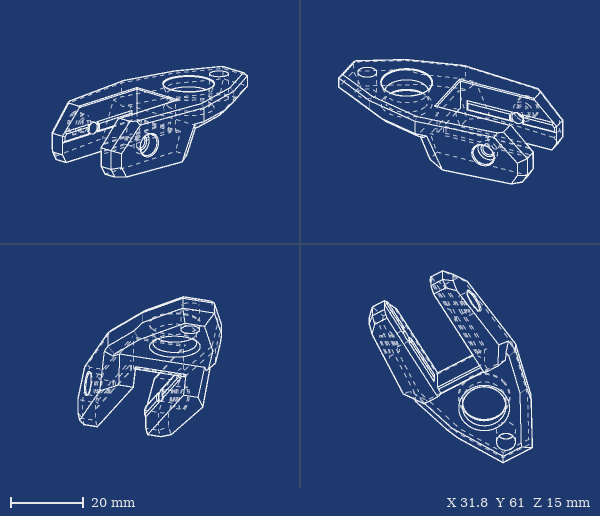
import cadquery as cq
import math

HEIGHT = 15.0
PLATE_THICKNESS = 7.0
BACK_Y = 18.55
FRONT_Y = -42.42

BACK_HALF_WIDTH = 4.66
SHOULDER_HALF_WIDTH = 11.66
SHOULDER_Y = 5.71
WIDEST_HALF_WIDTH = 15.88
WIDEST_Y = -10.27
LEG_TIP_HALF_WIDTH = 13.19

TOP_BEVEL = 1.0
BACK_UNDER_BEVEL = 3.0
WAIST_UNDER_BEVEL = 2.0
LEG_FRONT_BEVEL = 2.0

NOSE_TOP_SETBACK = 7.0
NOSE_BOTTOM_SETBACK = 1.5
NOSE_BOTTOM_RISE = 2.6
LEG_REAR_ANGLE = 20.0
LEG_REAR_FOOT_Y = -12.84

REAR_SLANT_FOOT_Y = -18.36
REAR_SLANT_HEAD_Y = -13.73
REAR_SLANT_INNER_X = 11.7

SLOT_HALF_WIDTH = 7.4
SLOT_BACK_Y = LEG_REAR_FOOT_Y
SLOT_RIM_WIDTH = 0.43
SLOT_RIM_DEPTH = 0.25
WEB_BOTTOM_Z = -9.6
WEB_BEVEL_HEIGHT = 0.6
WEB_BEVEL_WIDTH = 0.4

SMALL_HOLE_DIAMETER = 5.2
SMALL_HOLE_Y = 12.07
BORE_DIAMETER = 12.0
BORE_BOTTOM_BEVEL = 1.0
SEAT_DIAMETER = 13.9
SEAT_DEPTH = 2.9
SEAT_BULGE = 0.15
SEAT_RIM_BEVEL = 0.2

PIVOT_Y = -30.33
PIVOT_Z = -HEIGHT / 2
PIVOT_DIAMETER = 3.4
PIVOT_EDGE_BEVEL = 0.35
COUNTERBORE_DIAMETER = 6.1
COUNTERBORE_DEPTH = 3.0
COUNTERBORE_RIM_BEVEL = 0.3

RIB_HEIGHT = 0.5
RIB_BASE_WIDTH = 3.0
RIB_BACK_Y = -14.9
RIB_GAP_DIAMETER = 4.3

REACH = 100.0

SIDE_SLOPE = (WIDEST_HALF_WIDTH - LEG_TIP_HALF_WIDTH) / (WIDEST_Y - FRONT_Y)
UP = cq.Vector(0, 0, 1)
DOWN = cq.Vector(0, 0, -1)
BACKWARD = cq.Vector(0, 1, 0)
FORWARD = cq.Vector(0, -1, 0)


def leg_half_width(y):
    """Half-width of the outline in front of its widest point."""
    return WIDEST_HALF_WIDTH - SIDE_SLOPE * (WIDEST_Y - y)


def outward(start, end):
    """Horizontal unit normal of a right-hand outline side that runs from back to front."""
    return cq.Vector(start[1] - end[1], end[0] - start[0], 0).normalized()


BACK_CORNER = (BACK_HALF_WIDTH, BACK_Y)
SHOULDER = (SHOULDER_HALF_WIDTH, SHOULDER_Y)
WIDEST = (WIDEST_HALF_WIDTH, WIDEST_Y)
LEG_TIP = (LEG_TIP_HALF_WIDTH, FRONT_Y)
BACK_SIDE = outward(BACK_CORNER, SHOULDER)
WAIST_SIDE = outward(SHOULDER, WIDEST)
LEG_SIDE = outward(WIDEST, LEG_TIP)


def half_space(point, normal):
    """Block filling the side of a plane that its normal points to."""
    plane = cq.Plane(origin=point.toTuple(), normal=normal.toTuple())
    return cq.Workplane(plane).rect(2 * REACH, 2 * REACH).extrude(REACH)


def cut_both_sides(body, tool):
    return body.cut(tool).cut(tool.mirror("YZ"))


def edge_bevel(edge_point, first_normal, second_normal, length):
    """Tool that takes an equal bevel off the edge where two faces meet."""
    normal = (first_normal + second_normal).normalized()
    depth = length * (first_normal - second_normal).Length / 2
    return half_space(edge_point - normal * depth, normal)


def at_height(outline_point, z):
    return cq.Vector(outline_point[0], outline_point[1], z)


def symmetric_prism(right_points, thickness):
    """Prism below the top face from the right half of an outline."""
    left_points = [(-x, y) for x, y in reversed(right_points)]
    return cq.Workplane("XY").polyline(right_points + left_points).close().extrude(-thickness)


def make_plate():
    front_y = REAR_SLANT_HEAD_Y
    front_corner = (leg_half_width(front_y), front_y)
    plate = symmetric_prism([BACK_CORNER, SHOULDER, WIDEST, front_corner], PLATE_THICKNESS)
    bottom = -PLATE_THICKNESS
    plate = plate.cut(edge_bevel(at_height(BACK_CORNER, bottom), BACKWARD, DOWN, BACK_UNDER_BEVEL))
    sides = [
        (BACK_CORNER, BACK_SIDE, BACK_UNDER_BEVEL),
        (WIDEST, WAIST_SIDE, WAIST_UNDER_BEVEL),
        (WIDEST, LEG_SIDE, WAIST_UNDER_BEVEL),
    ]
    for corner, normal, length in sides:
        plate = cut_both_sides(plate, edge_bevel(at_height(corner, bottom), normal, DOWN, length))
    return plate


def rear_slant():
    """Tool that slants the outer rear corner of the right leg."""
    foot = cq.Vector(leg_half_width(REAR_SLANT_FOOT_Y), REAR_SLANT_FOOT_Y, -HEIGHT)
    head_z = WAIST_UNDER_BEVEL - PLATE_THICKNESS
    head = cq.Vector(leg_half_width(REAR_SLANT_HEAD_Y), REAR_SLANT_HEAD_Y, head_z)
    inner = cq.Vector(REAR_SLANT_INNER_X, LEG_REAR_FOOT_Y, -HEIGHT)
    return half_space(foot, (inner - foot).cross(head - foot))


def make_leg_block():
    """Full-width block with the side profile of the legs, before the slot is cut."""
    head_y = LEG_REAR_FOOT_Y + HEIGHT * math.tan(math.radians(LEG_REAR_ANGLE))
    profile = [
        (head_y, 0),
        (FRONT_Y + NOSE_TOP_SETBACK, 0),
        (FRONT_Y, -NOSE_TOP_SETBACK),
        (FRONT_Y, NOSE_BOTTOM_RISE - HEIGHT),
        (FRONT_Y + NOSE_BOTTOM_SETBACK, -HEIGHT),
        (LEG_REAR_FOOT_Y, -HEIGHT),
    ]
    block = cq.Workplane("YZ").polyline(profile).close().extrude(REACH / 2, both=True)
    block = block.intersect(symmetric_prism([BACK_CORNER, SHOULDER, WIDEST, LEG_TIP], HEIGHT))

    upper_slope = cq.Vector(0, -1, 1).normalized()
    lower_slope = cq.Vector(0, -NOSE_BOTTOM_RISE, -NOSE_BOTTOM_SETBACK).normalized()
    nose_faces = [
        (-NOSE_TOP_SETBACK, upper_slope),
        (-NOSE_TOP_SETBACK, FORWARD),
        (NOSE_BOTTOM_RISE - HEIGHT, lower_slope),
    ]
    for z, normal in nose_faces:
        block = cut_both_sides(block, edge_bevel(at_height(LEG_TIP, z), LEG_SIDE, normal, LEG_FRONT_BEVEL))
    return cut_both_sides(block, rear_slant())


def bevel_top(body):
    body = body.cut(edge_bevel(at_height(BACK_CORNER, 0), BACKWARD, UP, TOP_BEVEL))
    sides = [(BACK_CORNER, BACK_SIDE), (WIDEST, WAIST_SIDE), (WIDEST, LEG_SIDE)]
    for corner, normal in sides:
        body = cut_both_sides(body, edge_bevel(at_height(corner, 0), normal, UP, TOP_BEVEL))
    return body


def box_between(x_half, y_front, y_back, z_low, z_high):
    box = cq.Workplane("XY").box(2 * x_half, y_back - y_front, z_high - z_low, centered=(True, False, False))
    return box.translate((0, y_front, z_low))


def cut_slot(body):
    slot_front = FRONT_Y - 1
    body = body.cut(box_between(SLOT_HALF_WIDTH, slot_front, SLOT_BACK_Y, -HEIGHT, 0))
    body = body.cut(box_between(SLOT_HALF_WIDTH, slot_front, BACK_Y, -HEIGHT, WEB_BOTTOM_Z))

    rim_back = SLOT_BACK_Y + SLOT_RIM_WIDTH
    rim_length = rim_back - slot_front
    rim = (
        cq.Workplane("XY", origin=(0, rim_back - rim_length / 2, 0))
        .rect(2 * (SLOT_HALF_WIDTH + SLOT_RIM_WIDTH), rim_length)
        .extrude(-SLOT_RIM_DEPTH, taper=math.degrees(math.atan2(SLOT_RIM_WIDTH, SLOT_RIM_DEPTH)))
    )
    web_bevel = (
        cq.Workplane("YZ")
        .moveTo(SLOT_BACK_Y, WEB_BOTTOM_Z)
        .lineTo(SLOT_BACK_Y + WEB_BEVEL_WIDTH, WEB_BOTTOM_Z)
        .lineTo(SLOT_BACK_Y, WEB_BOTTOM_Z + WEB_BEVEL_HEIGHT)
        .close()
        .extrude(SLOT_HALF_WIDTH, both=True)
    )
    return body.cut(rim).cut(web_bevel)


def add_ribs(body):
    """Ribs with 45 degree flanks whose front ends follow the leg noses."""
    rib_top = PIVOT_Z + RIB_BASE_WIDTH / 2
    rib_bottom = PIVOT_Z - RIB_BASE_WIDTH / 2
    base = [
        (RIB_BACK_Y, rib_top),
        (FRONT_Y + NOSE_TOP_SETBACK + rib_top, rib_top),
        (FRONT_Y, -NOSE_TOP_SETBACK),
        (FRONT_Y, rib_bottom),
        (RIB_BACK_Y, rib_bottom),
    ]
    left_wall = cq.Workplane("YZ", origin=(-SLOT_HALF_WIDTH, 0, 0))
    rib = left_wall.polyline(base).close().extrude(RIB_HEIGHT, taper=45)
    gap = left_wall.center(PIVOT_Y, PIVOT_Z).circle(RIB_GAP_DIAMETER / 2).extrude(RIB_HEIGHT)
    rib = rib.cut(gap)
    return body.union(rib).union(rib.mirror("YZ"))


def cut_vertical_holes(body):
    small_hole = (
        cq.Workplane("XY", origin=(0, SMALL_HOLE_Y, 0))
        .circle(SMALL_HOLE_DIAMETER / 2)
        .extrude(-PLATE_THICKNESS)
    )
    bore_radius = BORE_DIAMETER / 2
    seat_radius = SEAT_DIAMETER / 2
    seat_middle = ((bore_radius + seat_radius) / 2 + SEAT_BULGE, -(SEAT_DEPTH + SEAT_RIM_BEVEL) / 2)
    bore = (
        cq.Workplane("XZ")
        .moveTo(0, 0)
        .lineTo(seat_radius + SEAT_RIM_BEVEL, 0)
        .lineTo(seat_radius, -SEAT_RIM_BEVEL)
        .threePointArc(seat_middle, (bore_radius, -SEAT_DEPTH))
        .lineTo(bore_radius, BORE_BOTTOM_BEVEL - PLATE_THICKNESS)
        .lineTo(bore_radius + BORE_BOTTOM_BEVEL, -PLATE_THICKNESS)
        .lineTo(0, -PLATE_THICKNESS)
        .close()
        .revolve(360, (0, 0, 0), (0, 1, 0))
    )
    return body.cut(small_hole).cut(bore)


def cut_pivot(body):
    """Pivot hole across both legs, counterbored from the leaning outer sides."""
    side_point = (leg_half_width(PIVOT_Y), PIVOT_Y, PIVOT_Z)
    floor_x = side_point[0] - COUNTERBORE_DEPTH
    floor = cq.Workplane("YZ", origin=(floor_x, PIVOT_Y, PIVOT_Z))
    counterbore_radius = COUNTERBORE_DIAMETER / 2

    hole = floor.circle(PIVOT_DIAMETER / 2).extrude(-floor_x)
    floor_edge = floor.circle(PIVOT_DIAMETER / 2 + PIVOT_EDGE_BEVEL).extrude(-PIVOT_EDGE_BEVEL, taper=45)
    counterbore = floor.circle(counterbore_radius).extrude(COUNTERBORE_DEPTH + COUNTERBORE_RIM_BEVEL)
    rim = (
        cq.Workplane(cq.Plane(origin=side_point, normal=LEG_SIDE.toTuple()))
        .circle(counterbore_radius + COUNTERBORE_RIM_BEVEL)
        .extrude(-COUNTERBORE_RIM_BEVEL, taper=45)
    )
    for tool in (hole, floor_edge, counterbore, rim):
        body = cut_both_sides(body, tool)
    return body


body = make_plate().union(make_leg_block())
body = bevel_top(body)
body = cut_slot(body)
body = add_ribs(body)
body = cut_vertical_holes(body)
result = cut_pivot(body)